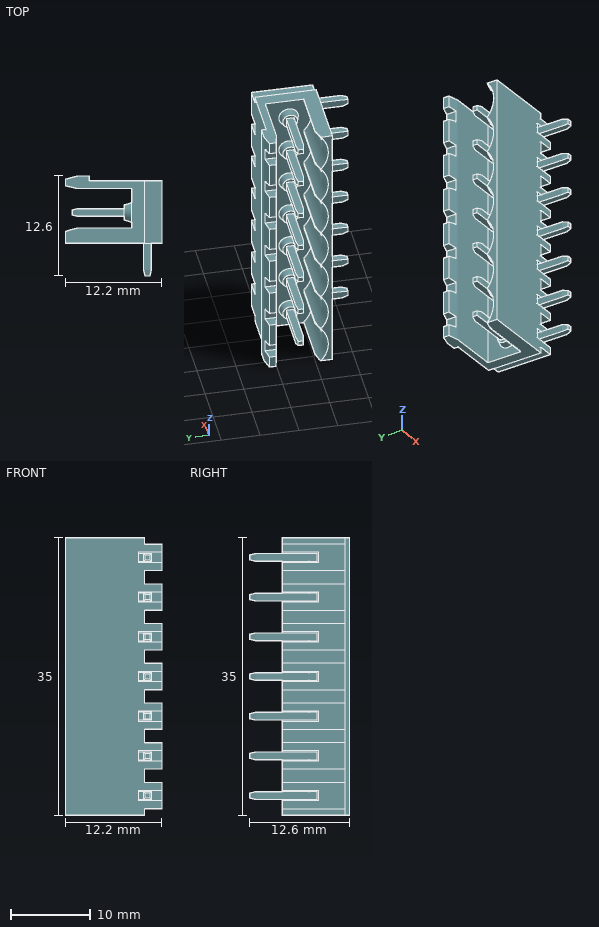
import cadquery as cq

pin_count = 7
pitch = 5.0
length = pin_count * pitch
pin_heights = [pitch * (index + 0.5) for index in range(pin_count)]

housing_depth = 12.2
housing_width = 7.9
cavity_depth = 8.35
lower_wall = 1.95
lower_wall_tip = 1.55
cavity_top = 6.9
lead_in_length = 1.5

latch_top = 8.5
latch_length = 3.05
latch_tip_top = 8.1
latch_tip_bottom = 7.25

notch_depth = 1.2
notch_mouth = 1.85
notch_root = 1.5

scallop_axis_y = 4.25
scallop_radius = 3.3
scallop_mouth_radius = 3.72

rib_base = 10.0
rib_width = 3.35

slot_start = 9.2
slot_width = 1.3

pin_size = 1.0
pin_tip_size = 0.65
pin_tip_length = 0.75
pin_axis_y = 3.9
pin_front = 0.85
leg_axis_x = 10.35
leg_end = -4.1

collar_height = 0.95
collar_base_radius = 1.25
collar_top_radius = 0.95


def box(x_range, y_range, z_range):
    """Block between the given limits."""
    corner = (x_range[0], y_range[0], z_range[0])
    return cq.Workplane("XY").box(
        x_range[1] - x_range[0],
        y_range[1] - y_range[0],
        z_range[1] - z_range[0],
        centered=False,
    ).translate(corner)


def frustum(start, direction, start_radius, end_radius, height):
    """Cone section that starts at a point and follows a direction."""
    return cq.Workplane(
        cq.Solid.makeCone(start_radius, end_radius, height, cq.Vector(*start), cq.Vector(*direction))
    )


def channel():
    """Channel section with the latch lip, run along the whole row."""
    outline = [
        (0, 0),
        (housing_depth, 0),
        (housing_depth, housing_width),
        (latch_length, housing_width),
        (latch_length, latch_top),
        (lead_in_length, latch_top),
        (0, latch_tip_top),
        (0, latch_tip_bottom),
        (lead_in_length, cavity_top),
        (cavity_depth, cavity_top),
        (cavity_depth, lower_wall),
        (lead_in_length, lower_wall),
        (0, lower_wall_tip),
    ]
    return cq.Workplane("XY").polyline(outline).close().extrude(length)


def scallop(z):
    """Round relief in the lower wall, limited to the half of the cavity below its axis."""
    flare = frustum((0, scallop_axis_y, z), (1, 0, 0), scallop_mouth_radius, scallop_radius, lead_in_length)
    bore = (
        cq.Workplane("YZ", origin=(lead_in_length, scallop_axis_y, z))
        .circle(scallop_radius)
        .extrude(cavity_depth - lead_in_length)
    )
    lower_half = box((0, cavity_depth), (0, scallop_axis_y), (z - pitch, z + pitch))
    return flare.union(bore).intersect(lower_half)


def latch_notch(z):
    """Tapered notch through the latch lip."""
    outline = [
        (0, z - notch_mouth / 2),
        (notch_depth, z - notch_root / 2),
        (notch_depth, z + notch_root / 2),
        (0, z + notch_mouth / 2),
    ]
    return (
        cq.Workplane("XZ", origin=(0, latch_top, 0))
        .polyline(outline)
        .close()
        .extrude(latch_top - scallop_axis_y)
    )


def back_gaps():
    """Material between and beyond the standoff ribs."""
    gaps = box((rib_base, housing_depth), (0, housing_width), (0, length))
    for z in pin_heights:
        rib = box((rib_base, housing_depth), (0, housing_width), (z - rib_width / 2, z + rib_width / 2))
        gaps = gaps.cut(rib)
    return gaps


def leg_slot(z):
    """Slot around the solder leg, deep enough to hold the bend of the pin."""
    slot_top = pin_axis_y + slot_width / 2
    return box((slot_start, housing_depth), (0, slot_top), (z - slot_width / 2, z + slot_width / 2))


def pointed_bar(plane, total_length):
    """Square bar along the plane normal with a tapered tip."""
    shank_length = total_length - pin_tip_length
    shank = cq.Workplane(plane).rect(pin_size, pin_size).extrude(shank_length)
    tip = (
        cq.Workplane(plane)
        .workplane(offset=shank_length)
        .rect(pin_size, pin_size)
        .workplane(offset=pin_tip_length)
        .rect(pin_tip_size, pin_tip_size)
        .loft()
    )
    return shank.union(tip)


def contact(z):
    """Right-angle pin: a blade in the cavity, a leg toward -Y and a root collar."""
    bend_x = leg_axis_x + pin_size / 2
    bend_y = pin_axis_y + pin_size / 2
    blade_plane = cq.Plane(origin=(bend_x, pin_axis_y, z), xDir=(0, 1, 0), normal=(-1, 0, 0))
    leg_plane = cq.Plane(origin=(leg_axis_x, bend_y, z), xDir=(1, 0, 0), normal=(0, -1, 0))
    blade = pointed_bar(blade_plane, bend_x - pin_front)
    leg = pointed_bar(leg_plane, bend_y - leg_end)
    collar = frustum(
        (cavity_depth, pin_axis_y, z), (-1, 0, 0), collar_base_radius, collar_top_radius, collar_height
    )
    return blade.union(leg).union(collar)


result = channel().cut(back_gaps())
for pin_z in pin_heights:
    result = result.cut(scallop(pin_z)).cut(latch_notch(pin_z)).cut(leg_slot(pin_z))
for pin_z in pin_heights:
    result = result.union(contact(pin_z))